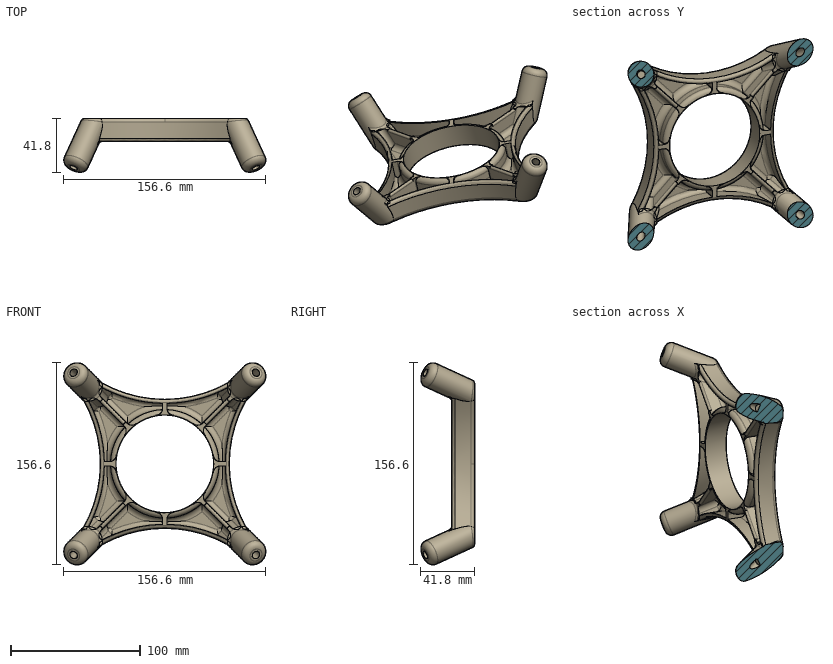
import cadquery as cq
import math

FRAME_DEPTH = 18.0
BORE_RADIUS = 75.5 / 2
SIDE_RADIUS = 100.0
SIDE_HALF_WIDTH = 50.0
BACK_ROUND = 3.0
FRONT_ROUND = 2.5

LEG_RADIUS = 20.0 / 2
LEG_ROOT_DISTANCE = 75.0
LEG_ANGLE = math.radians(33.0)
OVERALL_DEPTH = 41.83
LEG_TIP_ROUND = 5.0
LEG_JOINT_ROUND = 3.0
HOLE_RADIUS = 6.15 / 2
HOLE_DEPTH = 20.0
ARM_BACK_END = 78.0

FLOOR_THICKNESS = 3.0
RING_THICKNESS = 4.3
RING_TOP_ROUND = 4.0
RING_FOOT_ROUND = 5.0
RIM_THICKNESS = 3.2
RIM_FOOT_ROUND = 3.8
RIB_WIDTH = 3.2
RIB_FOOT_ROUND = 4.2
RIB_END_STEP = 0.1
END_GAP = 1.6
END_FOOT_ROUND = 3.5
WEB_WIDTH = 3.5
FLARE_RADIUS = 5.0

COS_45 = math.sqrt(0.5)
LEG_SIN = math.sin(LEG_ANGLE)
LEG_COS = math.cos(LEG_ANGLE)
LEG_TAN = math.tan(LEG_ANGLE)
SIDE_CENTRE = SIDE_HALF_WIDTH + SIDE_RADIUS
TIP_ROUND_DEPTH = OVERALL_DEPTH - LEG_TIP_ROUND - (LEG_RADIUS - LEG_TIP_ROUND) * LEG_SIN
LEG_LENGTH = TIP_ROUND_DEPTH / LEG_COS + LEG_TIP_ROUND
ARM_FRONT_END = ARM_BACK_END + FRAME_DEPTH * LEG_TAN
POCKET_DEPTH = FRAME_DEPTH - FLOOR_THICKNESS
POCKET_END = LEG_ROOT_DISTANCE - LEG_RADIUS / LEG_COS + FLOOR_THICKNESS * LEG_TAN + END_GAP
REACH = 2 * SIDE_HALF_WIDTH
PLANE_TOLERANCE = 0.01


def turned(shape, angle):
    return shape.rotate((0, 0, 0), (0, 1, 0), angle)


def four_times(shape, first_angle):
    """Four copies about the Y axis, joined."""
    joined = turned(shape, first_angle)
    for step in range(1, 4):
        joined = joined.union(turned(shape, first_angle + 90 * step))
    return joined


def on_sides(shape):
    return four_times(shape, 0)


def on_diagonals(shape):
    return four_times(shape, 45)


def flat_edges(body, depth, kind):
    """Edges of one kind lying in the plane at this depth in front of the back plane."""
    near = -depth - PLANE_TOLERANCE
    far = -depth + PLANE_TOLERANCE
    slab = cq.selectors.BoxSelector((-REACH, near, -REACH), (REACH, far, REACH))
    return body.edges(slab).edges(kind)




def leg_section(height):
    """Work plane square to the leg axis, at this height above the root of the leg."""
    root = cq.Plane(origin=(LEG_ROOT_DISTANCE, 0, 0), xDir=(0, 0, 1), normal=(LEG_SIN, -LEG_COS, 0))
    return cq.Workplane(root).workplane(offset=height)


def leg():
    below_root = 2 * LEG_RADIUS
    post = leg_section(-below_root).circle(LEG_RADIUS).extrude(below_root + LEG_LENGTH)
    leg_axis = cq.Vector(LEG_SIN, -LEG_COS, 0)
    post = post.faces(cq.selectors.DirectionMinMaxSelector(leg_axis, True)).edges().fillet(LEG_TIP_ROUND)
    before_back_plane = cq.Workplane("XZ").rect(4 * REACH, 4 * REACH).extrude(REACH)
    return post.intersect(before_back_plane).faces(">Y").edges().fillet(BACK_ROUND)


def leg_hole():
    return leg_section(LEG_LENGTH - HOLE_DEPTH).circle(HOLE_RADIUS).extrude(HOLE_DEPTH)


def arm():
    """A quarter of the plate, narrowing along +X between two side arcs, its end sloped like the leg."""
    arc_centre = SIDE_CENTRE * COS_45
    side_middle = SIDE_HALF_WIDTH * COS_45
    end_half_width = arc_centre - math.sqrt(SIDE_RADIUS**2 - (arc_centre - ARM_FRONT_END) ** 2)
    arc_direction = math.radians(247.5)
    arc_x = arc_centre + SIDE_RADIUS * math.cos(arc_direction)
    arc_z = arc_centre + SIDE_RADIUS * math.sin(arc_direction)
    plate = (
        cq.Workplane("XZ")
        .lineTo(side_middle, side_middle)
        .threePointArc((arc_x, arc_z), (ARM_FRONT_END, end_half_width))
        .lineTo(ARM_FRONT_END, -end_half_width)
        .threePointArc((arc_x, -arc_z), (side_middle, -side_middle))
        .close()
        .extrude(FRAME_DEPTH)
    )
    beyond_end = (
        cq.Workplane("XY")
        .moveTo(ARM_BACK_END, 0)
        .lineTo(ARM_FRONT_END, -FRAME_DEPTH)
        .lineTo(REACH, -FRAME_DEPTH)
        .lineTo(REACH, 0)
        .close()
        .extrude(REACH, both=True)
    )
    return plate.cut(beyond_end)


def arm_with_leg():
    rounded_arm = flat_edges(arm(), 0, "%CIRCLE").fillet(BACK_ROUND)
    joined = rounded_arm.union(leg())
    return flat_edges(joined, FRAME_DEPTH, "%ELLIPSE").fillet(LEG_JOINT_ROUND)


def front_round_waste():
    """Material outside the rounded front edge of the side at +X, up to the legs."""
    inner = SIDE_RADIUS - FRONT_ROUND
    shoulder = FRONT_ROUND - FRAME_DEPTH
    profile = (
        cq.Workplane("XY")
        .moveTo(inner, -FRAME_DEPTH)
        .lineTo(inner, shoulder)
        .lineTo(SIDE_RADIUS, shoulder)
        .threePointArc(
            (SIDE_RADIUS + FRONT_ROUND * (1 - COS_45), shoulder - FRONT_ROUND * COS_45),
            (SIDE_RADIUS + FRONT_ROUND, -FRAME_DEPTH),
        )
        .close()
    )
    waste = profile.revolve(360, (0, 0, 0), (0, 1, 0)).translate((SIDE_CENTRE, 0, 0))
    return waste.cut(turned(leg(), 45)).cut(turned(leg(), -45))




def bore_ring():
    """Disc out to the bore ring's wall, with a rounded top and a hollow fillet at its foot."""
    wall = BORE_RADIUS + RING_THICKNESS
    profile = (
        cq.Workplane("XY")
        .moveTo(0, -FRAME_DEPTH)
        .lineTo(wall - RING_TOP_ROUND, -FRAME_DEPTH)
        .tangentArcPoint((RING_TOP_ROUND, RING_TOP_ROUND))
        .lineTo(wall, -FLOOR_THICKNESS - RING_FOOT_ROUND)
        .tangentArcPoint((RING_FOOT_ROUND, RING_FOOT_ROUND))
        .lineTo(0, -FLOOR_THICKNESS)
        .close()
    )
    return profile.revolve(360, (0, 0, 0), (0, 1, 0))


def side_rim():
    """Disc about the arc centre of the side at +X, out to the rim's wall and the fillet at its foot."""
    wall = SIDE_RADIUS + RIM_THICKNESS
    profile = (
        cq.Workplane("XY")
        .moveTo(0, -FRAME_DEPTH)
        .lineTo(wall, -FRAME_DEPTH)
        .lineTo(wall, -FLOOR_THICKNESS - RIM_FOOT_ROUND)
        .tangentArcPoint((RIM_FOOT_ROUND, RIM_FOOT_ROUND))
        .lineTo(0, -FLOOR_THICKNESS)
        .close()
    )
    return profile.revolve(360, (0, 0, 0), (0, 1, 0)).translate((SIDE_CENTRE, 0, 0))


def ridge(base, wall_height):
    """Wall with a round crest and hollow fillets at its foot, running along the plane's normal.

    The plane's X axis points up from the base and its Y axis across the wall.
    """
    half = RIB_WIDTH / 2
    foot = half + RIB_FOOT_ROUND
    hollow_x = (1 - COS_45) * RIB_FOOT_ROUND
    hollow_y = half + (1 - COS_45) * RIB_FOOT_ROUND
    crest = wall_height + half
    return (
        cq.Workplane(base)
        .moveTo(0, -foot)
        .threePointArc((hollow_x, -hollow_y), (RIB_FOOT_ROUND, -half))
        .lineTo(wall_height, -half)
        .threePointArc((crest, 0), (wall_height, half))
        .lineTo(RIB_FOOT_ROUND, half)
        .threePointArc((hollow_x, hollow_y), (0, foot))
        .close()
        .extrude(REACH)
    )


def rib():
    """Rib along +X on the pocket floor, from the bore to the leg, and its fillets up the end wall."""
    floor = cq.Plane(origin=(0, -FLOOR_THICKNESS, 0), xDir=(0, -1, 0), normal=(1, 0, 0))
    end = cq.Plane(
        origin=(POCKET_END, -FLOOR_THICKNESS, 0),
        xDir=(-LEG_COS, -LEG_SIN, 0),
        normal=(LEG_SIN, -LEG_COS, 0),
    )
    on_floor = ridge(floor, POCKET_DEPTH - RIB_WIDTH / 2)
    return on_floor.union(ridge(end, RIB_FOOT_ROUND + RIB_END_STEP))


def flared_bridge(width, length):
    """Full-height bridge along +X, reaching this far beyond the bore and widening towards it."""
    half = width / 2
    end = BORE_RADIUS + length
    flare_start = BORE_RADIUS + FLARE_RADIUS
    flare_x = flare_start - FLARE_RADIUS * COS_45
    flare_z = half + FLARE_RADIUS * (1 - COS_45)
    root_half = half + FLARE_RADIUS
    return (
        cq.Workplane("XZ")
        .moveTo(end, -half)
        .lineTo(flare_start, -half)
        .threePointArc((flare_x, -flare_z), (BORE_RADIUS, -root_half))
        .lineTo(0, -root_half)
        .lineTo(0, root_half)
        .lineTo(BORE_RADIUS, root_half)
        .threePointArc((flare_x, flare_z), (flare_start, half))
        .lineTo(end, half)
        .close()
        .extrude(FRAME_DEPTH)
    )


def end_wall():
    """Solid beyond the pocket end on +X: a wall parallel to the leg, hollow fillet at its foot."""
    half_corner = math.pi / 4 - LEG_ANGLE / 2
    tangent = END_FOOT_ROUND * math.tan(half_corner)
    foot_x = POCKET_END - tangent
    arc_x = foot_x + END_FOOT_ROUND * math.sin(half_corner)
    arc_y = -FLOOR_THICKNESS - END_FOOT_ROUND * (1 - math.cos(half_corner))
    wall_foot = (POCKET_END + tangent * LEG_SIN, -FLOOR_THICKNESS - tangent * LEG_COS)
    return (
        cq.Workplane("XY")
        .moveTo(foot_x, -FLOOR_THICKNESS)
        .threePointArc((arc_x, arc_y), wall_foot)
        .lineTo(POCKET_END + POCKET_DEPTH * LEG_TAN, -FRAME_DEPTH)
        .lineTo(2 * REACH, -FRAME_DEPTH)
        .lineTo(2 * REACH, -FLOOR_THICKNESS)
        .close()
        .extrude(REACH, both=True)
    )


def arm_pockets():
    """The two hollows of the arm on +X, one on each side of its rib."""
    hollow = (
        cq.Workplane("XZ")
        .workplane(offset=FLOOR_THICKNESS)
        .lineTo(REACH, REACH)
        .lineTo(REACH, -REACH)
        .close()
        .extrude(POCKET_DEPTH)
    )
    hollow = hollow.cut(end_wall()).cut(bore_ring())
    side_web = flared_bridge(WEB_WIDTH, SIDE_HALF_WIDTH - BORE_RADIUS)
    for side_angle in (45, -45):
        hollow = hollow.cut(turned(side_rim(), side_angle)).cut(turned(side_web, side_angle))
    rib_root = flared_bridge(RIB_WIDTH, FLARE_RADIUS + RIB_WIDTH / 2)
    return hollow.cut(rib()).cut(rib_root)


bore = cq.Workplane("XZ").circle(BORE_RADIUS).extrude(FRAME_DEPTH)
result = on_diagonals(arm_with_leg()).cut(on_sides(front_round_waste())).cut(bore)
result = result.cut(on_diagonals(arm_pockets())).cut(on_diagonals(leg_hole())).clean()